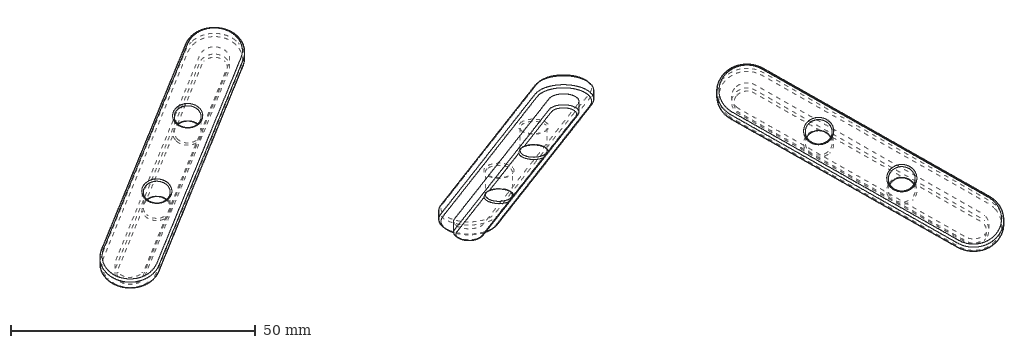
import cadquery as cq

plate_length = 66.9
plate_width = 12.4
plate_thickness = 3.0

rail_length = 60.8
rail_inset = (plate_length - rail_length) / 2
rail_width = plate_width - 2 * rail_inset
rail_depth = 3.0

edge_chamfer = 0.5

hole_diameter = 5.5
hole_spacing = 20.0
hole_chamfer = 0.35


def rounded_bar(length, width, bottom, height):
    """Round-ended bar running along Y, standing on the given level."""
    return cq.Workplane("XY").workplane(offset=bottom).slot2D(length, width, 90).extrude(height)


plate = rounded_bar(plate_length, plate_width, 0, plate_thickness)
plate = plate.faces("|Z").chamfer(edge_chamfer)

rail = rounded_bar(rail_length, rail_width, -rail_depth, rail_depth)
rail = rail.faces("<Z").chamfer(edge_chamfer)

hole_height = plate_thickness + rail_depth
hole_radius = hole_diameter / 2
mouth_radius = hole_radius + hole_chamfer
hole = (
    cq.Workplane("XZ", origin=(0, 0, -rail_depth))
    .lineTo(mouth_radius, 0)
    .lineTo(hole_radius, hole_chamfer)
    .lineTo(hole_radius, hole_height - hole_chamfer)
    .lineTo(mouth_radius, hole_height)
    .lineTo(0, hole_height)
    .close()
    .revolve(360, (0, 0), (0, 1))
)

result = plate.union(rail)
for side in (-1, 1):
    result = result.cut(hole.translate((0, side * hole_spacing / 2, 0)))